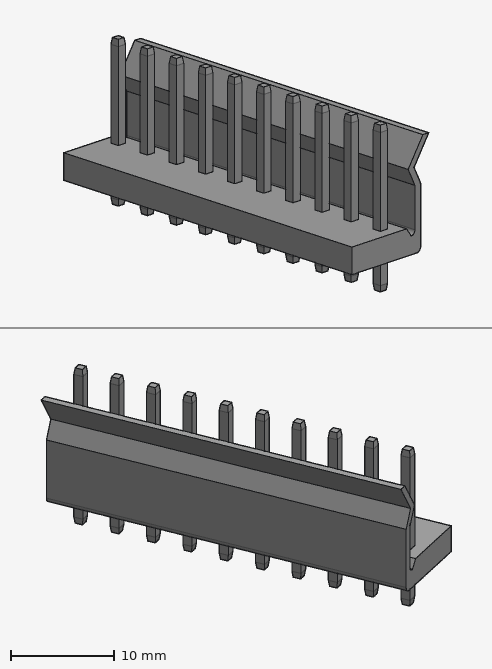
import cadquery as cq
import math

pin_count = 10
pitch = 3.96
pin_width = 1.0
pin_tip_width = 0.8
pin_tip_height = 0.7
pin_length = 17.09
pin_below_base = 3.43

housing_length = 39.2
base_height = 2.83
base_front_y = -5.7
overall_depth = 10.57
latch_top_z = 11.92
wall_thickness = 0.82
wall_back_y = 3.77
back_corner_radius = 0.6

latch_bend_z = 7.0
ridge_z = 8.86
ridge_back_y = 2.85

groove_radius = 0.5
groove_bottom_z = 1.95
groove_front_y = 1.8


def make_housing():
    """Extrude the L-shaped section with its latch along the row."""
    wall_inner_y = wall_back_y - wall_thickness
    latch_back_y = base_front_y + overall_depth
    groove_center_y = wall_inner_y - groove_radius
    groove_center_z = groove_bottom_z + groove_radius
    arc_middle_y = groove_center_y + groove_radius * math.sqrt(0.5)
    arc_middle_z = groove_center_z - groove_radius * math.sqrt(0.5)

    section = (
        cq.Workplane("YZ", origin=(-housing_length / 2, 0, 0))
        .moveTo(base_front_y, 0)
        .lineTo(wall_back_y, 0)
        .lineTo(wall_back_y, latch_bend_z)
        .lineTo(ridge_back_y, ridge_z)
        .lineTo(latch_back_y, latch_top_z)
        .lineTo(latch_back_y - wall_thickness, latch_top_z)
        .lineTo(ridge_back_y - wall_thickness, ridge_z)
        .lineTo(wall_inner_y, latch_bend_z)
        .lineTo(wall_inner_y, groove_center_z)
        .threePointArc((arc_middle_y, arc_middle_z), (groove_center_y, groove_bottom_z))
        .lineTo(groove_front_y, base_height)
        .lineTo(base_front_y, base_height)
        .close()
    )
    housing = section.extrude(housing_length)
    back_corner = cq.selectors.NearestToPointSelector((0, wall_back_y, 0))
    return housing.edges(back_corner).fillet(back_corner_radius)


def make_pin_tip(x, z, direction):
    """Taper a square pin end; direction is +1 for upward and -1 for downward."""
    return (
        cq.Workplane("XY", origin=(x, 0, z))
        .rect(pin_width, pin_width)
        .workplane(offset=direction * pin_tip_height)
        .rect(pin_tip_width, pin_tip_width)
        .loft()
    )


def make_pin(x):
    """Square pin through the base with a tapered tip at each end."""
    shank_bottom_z = pin_tip_height - pin_below_base
    shank_length = pin_length - 2 * pin_tip_height
    shank = (
        cq.Workplane("XY", origin=(x, 0, shank_bottom_z))
        .rect(pin_width, pin_width)
        .extrude(shank_length)
    )
    top_tip = make_pin_tip(x, shank_bottom_z + shank_length, 1)
    bottom_tip = make_pin_tip(x, shank_bottom_z, -1)
    return shank.union(top_tip).union(bottom_tip)


result = make_housing()
first_pin_x = -(pin_count - 1) * pitch / 2
for index in range(pin_count):
    result = result.union(make_pin(first_pin_x + index * pitch))